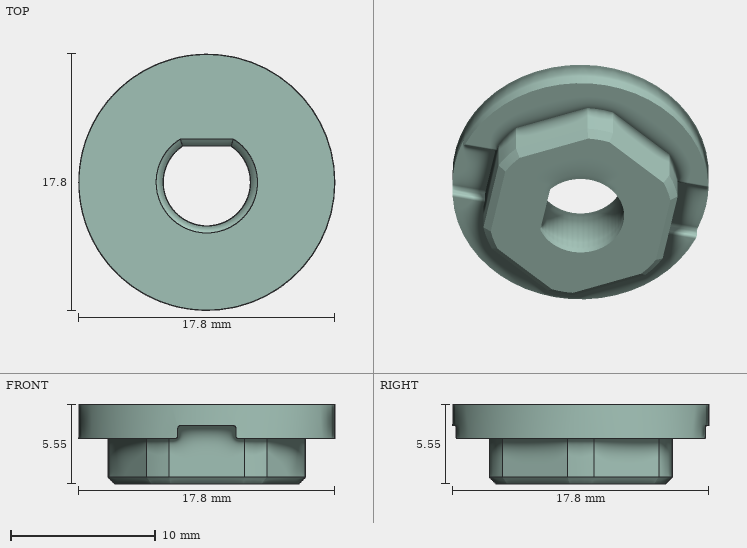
import cadquery as cq
import math

flange_radius = 8.89
total_height = 5.55
flange_thickness = 2.38
hub_height = total_height - flange_thickness

hub_across_flats = 12.7
hub_corner_radius = 6.86
edge_chamfer = 0.5

bore_radius = 3.02
bore_flat_offset = 2.5

notch_width = 4.04
notch_height = 0.9
notch_fillet = 0.2


def make_hub():
    """Hexagon with flats facing -Y and +Y, rounded corners and a chamfered lower edge."""
    corner_to_corner = hub_across_flats / math.cos(math.pi / 6)
    hexagon = cq.Workplane("XY").polygon(6, corner_to_corner).extrude(hub_height)
    corner_cylinder = cq.Workplane("XY").circle(hub_corner_radius).extrude(hub_height)
    return hexagon.intersect(corner_cylinder).faces("<Z").chamfer(edge_chamfer)


def make_flange():
    return cq.Workplane("XY").workplane(offset=hub_height).circle(flange_radius).extrude(flange_thickness)


def make_notch(side):
    """Cutter for one rim notch, with rounded roof corners and flared lower lips."""
    half_width = notch_width / 2
    lip = half_width + notch_fillet
    wall_bottom = hub_height + notch_fillet
    roof = hub_height + notch_height
    roof_half_width = half_width - notch_fillet
    profile = (
        cq.Workplane("XZ", origin=(0, side * hub_across_flats / 2, 0))
        .moveTo(-lip, hub_height)
        .radiusArc((-half_width, wall_bottom), -notch_fillet)
        .lineTo(-half_width, roof - notch_fillet)
        .radiusArc((-roof_half_width, roof), notch_fillet)
        .lineTo(roof_half_width, roof)
        .radiusArc((half_width, roof - notch_fillet), notch_fillet)
        .lineTo(half_width, wall_bottom)
        .radiusArc((lip, hub_height), -notch_fillet)
        .close()
    )
    return profile.extrude(-side * flange_radius)


def make_bore():
    """D-shaped cutter that widens into a chamfer at the flange top."""
    cylinder = cq.Workplane("XY").circle(bore_radius).extrude(total_height)
    flat_limit = (
        cq.Workplane("XY")
        .center(0, bore_flat_offset - bore_radius)
        .rect(2 * bore_radius, 2 * bore_radius)
        .extrude(total_height)
    )
    straight_bore = cylinder.intersect(flat_limit)

    wide_radius = bore_radius + edge_chamfer
    wide_flat_offset = bore_flat_offset + edge_chamfer
    chamfer_base = total_height - edge_chamfer
    cone = cq.Workplane("XY").add(
        cq.Solid.makeCone(bore_radius, wide_radius, edge_chamfer, pnt=cq.Vector(0, 0, chamfer_base))
    )
    sloped_flat_limit = (
        cq.Workplane("YZ")
        .moveTo(-wide_radius, chamfer_base)
        .lineTo(bore_flat_offset, chamfer_base)
        .lineTo(wide_flat_offset, total_height)
        .lineTo(-wide_radius, total_height)
        .close()
        .extrude(wide_radius, both=True)
    )
    return straight_bore.union(cone.intersect(sloped_flat_limit))


result = make_hub().union(make_flange())
for side in (-1, 1):
    result = result.cut(make_notch(side))
result = result.cut(make_bore())